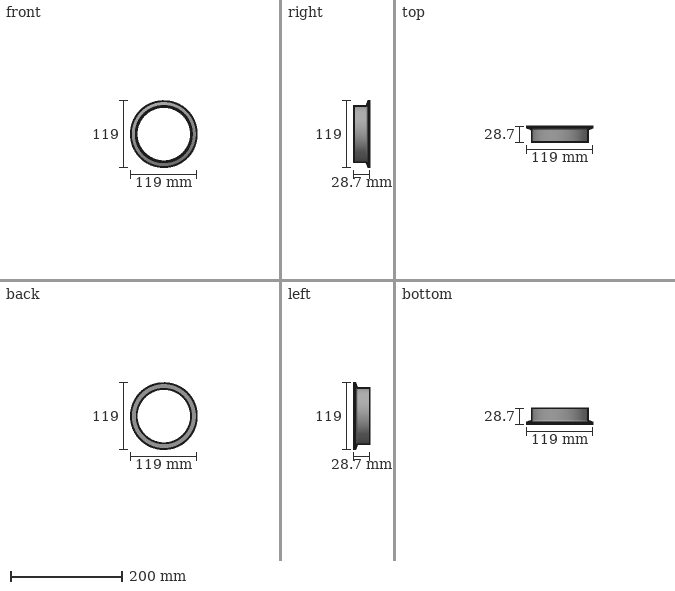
import cadquery as cq
import math

flange_radius = 59.5
length = 28.7
tube_outer_radius = 50.8
bore_radius = 48.6
rim_thickness = 2.9
cone_angle = math.radians(20)
neck_fillet_radius = 1.5
bore_round_radius = 0.8

flange_face_y = length / 2
tube_end_y = -length / 2
rim_y = flange_face_y - rim_thickness

fillet_centre_radius = tube_outer_radius + neck_fillet_radius
cone_end_radius = fillet_centre_radius - neck_fillet_radius * math.sin(cone_angle)
cone_end_y = rim_y - (flange_radius - cone_end_radius) * math.tan(cone_angle)
fillet_end_y = cone_end_y - neck_fillet_radius * math.cos(cone_angle)

mid_angle = (math.pi / 2 + cone_angle) / 2
fillet_mid = (
    fillet_centre_radius - neck_fillet_radius * math.sin(mid_angle),
    fillet_end_y + neck_fillet_radius * math.cos(mid_angle),
)

round_setback = bore_round_radius * (1 - math.cos(math.pi / 4))
bore_round_mid = (
    bore_radius + round_setback,
    flange_face_y - round_setback,
)

half_section = (
    cq.Workplane("XY")
    .moveTo(bore_radius, tube_end_y)
    .lineTo(tube_outer_radius, tube_end_y)
    .lineTo(tube_outer_radius, fillet_end_y)
    .threePointArc(fillet_mid, (cone_end_radius, cone_end_y))
    .lineTo(flange_radius, rim_y)
    .lineTo(flange_radius, flange_face_y)
    .lineTo(bore_radius + bore_round_radius, flange_face_y)
    .threePointArc(bore_round_mid, (bore_radius, flange_face_y - bore_round_radius))
    .close()
)

result = half_section.revolve(360, (0, 0, 0), (0, 1, 0))